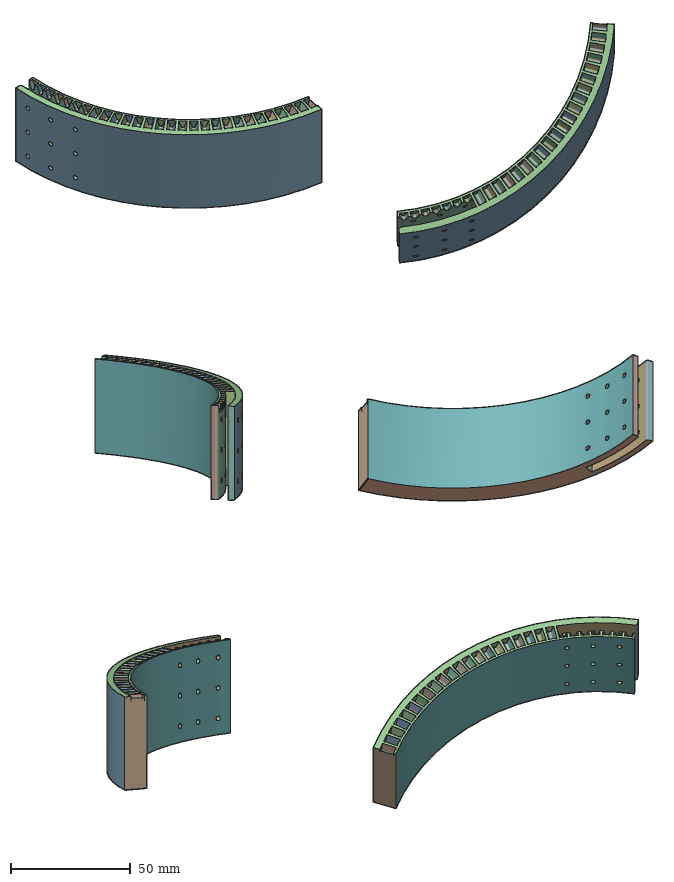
import cadquery as cq
import math

overall_length = 110.2
height = 40.0
start_angle = -71.0
end_angle = 9.0
sine_span = math.sin(math.radians(end_angle)) - math.sin(math.radians(start_angle))
outer_radius = overall_length / sine_span

panel_thickness = 10.0
outer_wall = 3.0
inner_skin = 1.0
inner_flap = 3.0
inner_radius = outer_radius - panel_thickness
pocket_inner_radius = inner_radius + inner_skin
slot_inner_radius = inner_radius + inner_flap
slot_outer_radius = outer_radius - outer_wall

slot_span = 20.0
slot_floor_angle = start_angle + slot_span
slot_mouth_rounding = 1.0

pocket_count = 28
pocket_pitch = 2.87
last_pocket_angle = 8.13
pocket_depth = 3.4
pocket_width = 3.5
pocket_wall_draft = 20.0
pocket_floor_fillet = 0.5

hole_diameter = 2.0
hole_angles = (-67.0, -60.0, -53.0)
hole_row_spacing = 13.0

bottom_chamfer = 0.3

overcut = 1.1


def polar(radius, angle):
    """Point at a radius and an angle in degrees."""
    turn = math.radians(angle)
    return (radius * math.cos(turn), radius * math.sin(turn))


def ring_sector(radius_in, radius_out, angle_from, angle_to):
    """Full-height piece of a ring between two angles."""
    angle_mid = (angle_from + angle_to) / 2
    return (
        cq.Workplane("XY")
        .moveTo(*polar(radius_in, angle_from))
        .lineTo(*polar(radius_out, angle_from))
        .threePointArc(polar(radius_out, angle_mid), polar(radius_out, angle_to))
        .lineTo(*polar(radius_in, angle_to))
        .threePointArc(polar(radius_in, angle_mid), polar(radius_in, angle_from))
        .close()
        .extrude(height)
    )


def round_slot_mouth(body):
    """Round the two corners where the slot opens at the end of the panel."""
    for radius in (slot_inner_radius, slot_outer_radius):
        corner = polar(radius, start_angle)
        edge = cq.selectors.NearestToPointSelector((*corner, height / 2))
        body = body.edges("|Z").edges(edge).fillet(slot_mouth_rounding)
    return body


def chamfer_bottom(body):
    """Bevel the bottom edges along the inner face, the outer face and the far end."""
    angle_mid = (slot_floor_angle + end_angle) / 2
    edge_points = (
        polar(inner_radius, angle_mid),
        polar(outer_radius, angle_mid),
        polar((inner_radius + outer_radius) / 2, end_angle),
    )
    edges = cq.Workplane("XY")
    for point in edge_points:
        selector = cq.selectors.NearestToPointSelector((*point, 0))
        edges = edges.add(body.faces("<Z").edges(selector))
    return cq.Workplane(body.val().chamfer(bottom_chamfer, None, edges.vals()))


def radial_plane(angle, z):
    """Plane facing outward at an angle, local X tangential and local Y up."""
    outward = (*polar(1, angle), 0)
    tangent = (*polar(1, angle + 90), 0)
    return cq.Plane(origin=(0, 0, z), xDir=tangent, normal=outward)


def pocket_bar():
    """Tapered bar with a rounded bottom, lying along +X at the top edge."""
    slope = math.tan(math.radians(pocket_wall_draft))
    half_top = pocket_width / 2 + overcut * slope
    half_floor = pocket_width / 2 - pocket_depth * slope
    return (
        cq.Workplane(radial_plane(0, height))
        .workplane(offset=pocket_inner_radius - overcut)
        .polyline(
            [
                (-half_top, overcut),
                (-half_floor, -pocket_depth),
                (half_floor, -pocket_depth),
                (half_top, overcut),
            ]
        )
        .close()
        .extrude(slot_outer_radius - pocket_inner_radius + 2 * overcut)
        .edges("|X and <Z")
        .fillet(pocket_floor_fillet)
    )


def pockets():
    """All pockets, trimmed to the core between the inner skin and the outer wall."""
    bar = pocket_bar().val()
    row = cq.Workplane("XY")
    for index in range(pocket_count):
        angle = last_pocket_angle - index * pocket_pitch
        row = row.add(bar.rotate((0, 0, 0), (0, 0, 1), angle))
    core = (
        cq.Workplane("XY")
        .circle(slot_outer_radius)
        .circle(pocket_inner_radius)
        .extrude(height + 2 * overcut)
    )
    return core.intersect(cq.Workplane(cq.Compound.makeCompound(row.vals())))


def pin_holes():
    """Radial holes in three columns and three rows."""
    holes = cq.Workplane("XY")
    for angle in hole_angles:
        for row in (-1, 0, 1):
            z = height / 2 + row * hole_row_spacing
            pin = (
                cq.Workplane(radial_plane(angle, z))
                .workplane(offset=inner_radius - overcut)
                .circle(hole_diameter / 2)
                .extrude(panel_thickness + 2 * overcut)
            )
            holes = holes.add(pin)
    return cq.Workplane(cq.Compound.makeCompound(holes.vals()))


panel = ring_sector(inner_radius, outer_radius, start_angle, end_angle)
slot = ring_sector(slot_inner_radius, slot_outer_radius, start_angle - slot_span, slot_floor_angle)
panel = round_slot_mouth(panel.cut(slot))
panel = chamfer_bottom(panel)
result = panel.cut(pockets()).cut(pin_holes())